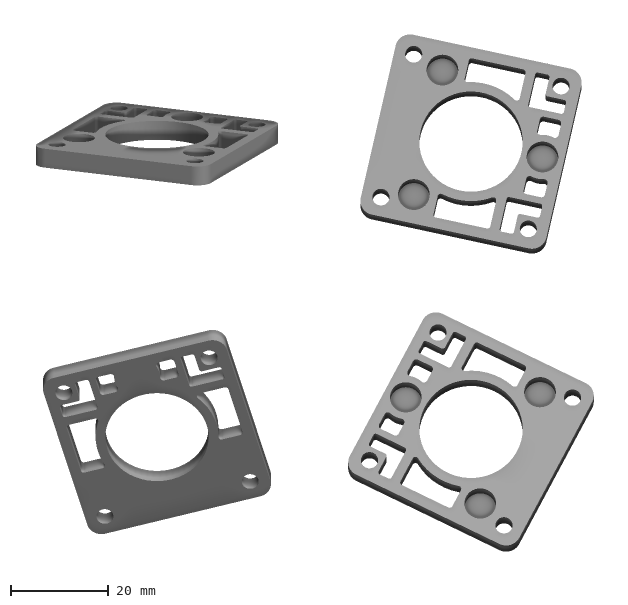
import cadquery as cq

side = 39.0
thickness = 4.0
corner_radius = 3.0

bore_diameter = 21.2
screw_diameter = 3.5
screw_offset = 15.5
pocket_diameter = 6.5
pocket_depth = 3.2
top_pocket_y = 15.0
lower_pocket_x = 13.5
lower_pocket_y = -9.0

window_limit = screw_offset + screw_diameter / 2
window_fillet = 0.5
ell_length = 7.5
ell_arm_width = 3.0
small_window_outer_x = 8.4
small_window_height = 4.5
small_window_fillet = 0.75
pocket_wall = 1.45
side_window_top = 7.75
side_window_bottom = -4.17
bore_wall = 2.0
side_window_fillet = 0.62

pocket_centers = [
    (0, top_pocket_y),
    (-lower_pocket_x, lower_pocket_y),
    (lower_pocket_x, lower_pocket_y),
]


def cylinder(radius, x, y):
    """Vertical cylinder through the full thickness."""
    return cq.Workplane("XY").center(x, y).circle(radius).extrude(thickness)


def block(x_min, x_max, y_min, y_max):
    """Rectangular block through the full thickness."""
    return cq.Workplane("XY").box(
        x_max - x_min, y_max - y_min, thickness, centered=False
    ).translate((x_min, y_min, 0))


def ell_window():
    """L-shaped window wrapped around the upper right screw hole."""
    inner = window_limit - ell_length
    arm_edge = inner + ell_arm_width
    square = block(inner, window_limit, inner, window_limit)
    notch = block(arm_edge, window_limit, arm_edge, window_limit)
    return square.cut(notch).edges("|Z").fillet(window_fillet)


def small_window():
    """Window whose inner edge is concentric with the top pocket."""
    bottom = window_limit - small_window_height
    blank = block(0, small_window_outer_x, bottom, window_limit)
    keep_out = cylinder(pocket_diameter / 2 + pocket_wall, 0, top_pocket_y)
    return blank.cut(keep_out).edges("|Z").fillet(small_window_fillet)


def side_window():
    """Window whose inner edge is concentric with the bore."""
    blank = block(0, window_limit, side_window_bottom, side_window_top)
    keep_out = cylinder(bore_diameter / 2 + bore_wall, 0, 0)
    return blank.cut(keep_out).edges("|Z").fillet(side_window_fillet)


plate = (
    cq.Workplane("XY")
    .rect(side, side)
    .extrude(thickness)
    .edges("|Z")
    .fillet(corner_radius)
)

plate = plate.cut(cylinder(bore_diameter / 2, 0, 0))
for x in (-screw_offset, screw_offset):
    for y in (-screw_offset, screw_offset):
        plate = plate.cut(cylinder(screw_diameter / 2, x, y))

for x, y in pocket_centers:
    pocket = cylinder(pocket_diameter / 2, x, y)
    plate = plate.cut(pocket.translate((0, 0, thickness - pocket_depth)))

for window in (ell_window(), small_window(), side_window()):
    plate = plate.cut(window).cut(window.mirror("YZ"))

result = plate